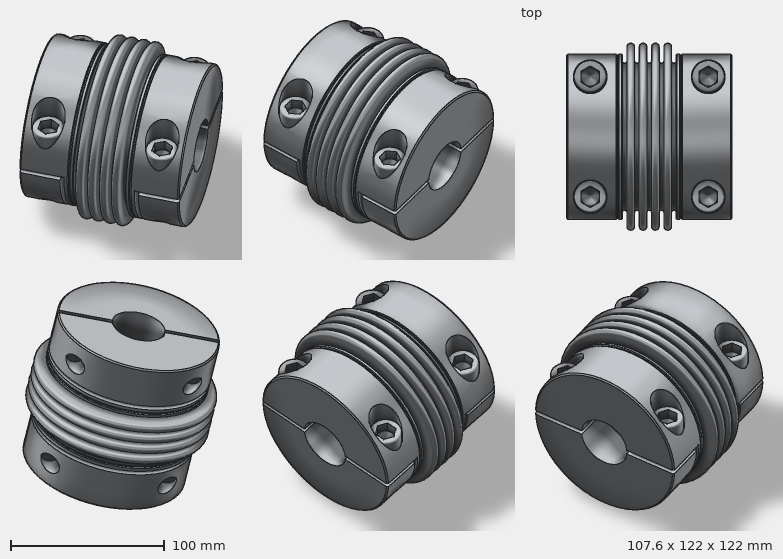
import cadquery as cq
import math


overall_length = 107.6
hub_radius = 108.0 / 2
bore_radius = 35.0 / 2
end_chamfer = 1.0
groove_radius = 106.4 / 2
groove_outer_x = 21.6
groove_inner_x = 19.8
bevel_width = 0.5
hub_end_x = overall_length / 2

bellows_radius = 122 / 2
fold_count = 4
fold_span = 32.1
fold_pitch = fold_span / fold_count
fold_width = 5.0
valley_radius = 48.0
crest_round = fold_width / 2
valley_round = (fold_pitch - fold_width) / 2
bellows_half_length = fold_span / 2 + valley_round

split_gap = 3.2
cross_slot_inner_x = 23.8
cross_slot_outer_x = 26.5

screw_x = 38.4
screw_y = 39
shank_diameter = 14.0
shank_length = 40.0
head_diameter = 21.0
head_height = 14.0
head_top_z = 30.0
head_round = 1.2
head_bottom_z = head_top_z - head_height
socket_corner_diameter = 14.0
socket_depth = head_height / 2
socket_tip_angle = 120
counterbore_diameter = 22
thread_hole_diameter = 12.0


def add_valley(outline, center_x):
    """Continue an outline down into a rounded valley and up to the start of its far wall."""
    wall_end = valley_radius + valley_round
    return (
        outline.lineTo(center_x - valley_round, wall_end)
        .threePointArc((center_x, valley_radius), (center_x + valley_round, wall_end))
    )


def add_crest(outline, center_x):
    """Continue an outline up over a rounded fold crest."""
    wall_end = bellows_radius - crest_round
    return (
        outline.lineTo(center_x - crest_round, wall_end)
        .threePointArc((center_x, bellows_radius), (center_x + crest_round, wall_end))
    )


def coupling_body():
    """Solid of revolution: hubs, neck grooves and bellows folds."""
    profile = (
        cq.Workplane("XY")
        .moveTo(-hub_end_x, bore_radius)
        .lineTo(-hub_end_x, hub_radius - end_chamfer)
        .lineTo(-hub_end_x + end_chamfer, hub_radius)
        .lineTo(-groove_outer_x, hub_radius)
        .lineTo(-groove_outer_x + bevel_width, groove_radius)
        .lineTo(-groove_inner_x - bevel_width, groove_radius)
        .lineTo(-groove_inner_x, hub_radius)
        .lineTo(-bellows_half_length - bevel_width, hub_radius)
        .lineTo(-bellows_half_length, groove_radius)
    )

    first_valley_x = -fold_span / 2
    for fold in range(fold_count):
        valley_x = first_valley_x + fold * fold_pitch
        profile = add_valley(profile, valley_x)
        profile = add_crest(profile, valley_x + fold_pitch / 2)
    profile = add_valley(profile, -first_valley_x)

    profile = (
        profile.lineTo(bellows_half_length, groove_radius)
        .lineTo(bellows_half_length + bevel_width, hub_radius)
        .lineTo(groove_inner_x, hub_radius)
        .lineTo(groove_inner_x + bevel_width, groove_radius)
        .lineTo(groove_outer_x - bevel_width, groove_radius)
        .lineTo(groove_outer_x, hub_radius)
        .lineTo(hub_end_x - end_chamfer, hub_radius)
        .lineTo(hub_end_x, hub_radius - end_chamfer)
        .lineTo(hub_end_x, bore_radius)
        .close()
    )
    return profile.revolve(360, (0, 0, 0), (1, 0, 0))


def clamp_split(side):
    """L-shaped cut that parts the lower jaw of one hub from the rest of it."""
    half_gap = split_gap / 2
    return (
        cq.Workplane("XZ")
        .polyline([
            (side * hub_end_x, half_gap),
            (side * cross_slot_inner_x, half_gap),
            (side * cross_slot_inner_x, -hub_radius),
            (side * cross_slot_outer_x, -hub_radius),
            (side * cross_slot_outer_x, -half_gap),
            (side * hub_end_x, -half_gap),
        ])
        .close()
        .extrude(hub_radius, both=True)
    )


def screw_hole():
    """Counterbore above the head seat and threaded hole out through the lower jaw."""
    counterbore = (
        cq.Workplane("XY", origin=(0, 0, head_bottom_z))
        .circle(counterbore_diameter / 2)
        .extrude(hub_radius)
    )
    thread_hole = (
        cq.Workplane("XY")
        .circle(thread_hole_diameter / 2)
        .extrude(-hub_radius)
    )
    return counterbore.union(thread_hole)


def clamp_screw():
    """Socket head screw with a hexagon socket ending in a cone."""
    head = (
        cq.Workplane("XY", origin=(0, 0, head_bottom_z))
        .circle(head_diameter / 2)
        .extrude(head_height)
        .faces(">Z")
        .edges()
        .fillet(head_round)
    )
    shank = (
        cq.Workplane("XY", origin=(0, 0, head_bottom_z))
        .circle(shank_diameter / 2)
        .extrude(-shank_length)
    )
    socket_bottom_z = head_top_z - socket_depth
    socket = (
        cq.Workplane("XY", origin=(0, 0, socket_bottom_z))
        .transformed(rotate=(0, 0, 90))
        .polygon(6, socket_corner_diameter)
        .extrude(socket_depth)
    )
    tip_radius = socket_corner_diameter / 2 * math.cos(math.pi / 6)
    tip_depth = tip_radius / math.tan(math.radians(socket_tip_angle / 2))
    tip_cone = cq.Solid.makeCone(
        tip_radius, 0, tip_depth, cq.Vector(0, 0, socket_bottom_z), cq.Vector(0, 0, -1)
    )
    tip = cq.Workplane(tip_cone)
    return head.union(shank).cut(socket).cut(tip)


result = coupling_body()
for side in (-1, 1):
    result = result.cut(clamp_split(side))

for x in (-screw_x, screw_x):
    for y in (-screw_y, screw_y):
        result = result.cut(screw_hole().translate((x, y, 0)))
        result = result.union(clamp_screw().translate((x, y, 0)))